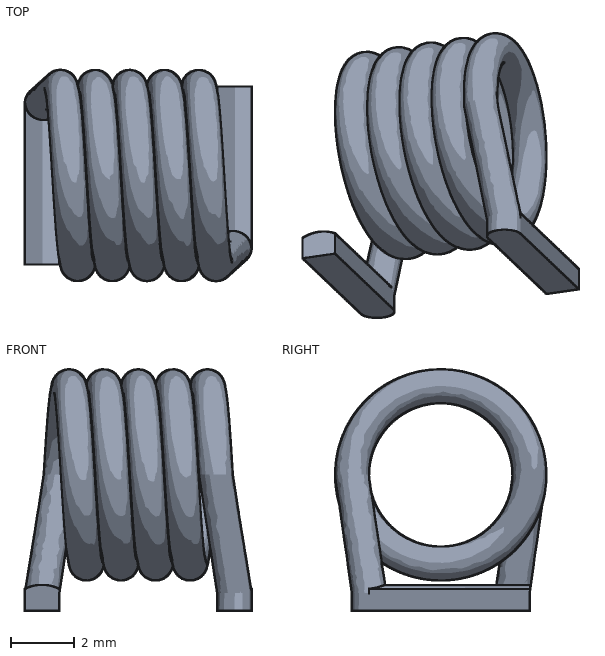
import cadquery as cq

wire_diameter = 1.07
coil_outer_diameter = 6.67
coil_turns = 4.5
coil_pitch = 1.09
overall_height = 7.62
overall_length = 7.16

foot_width = 1.1
foot_side_height = 0.69
foot_crown_height = 0.82
foot_post_height = 0.55
foot_round_center_y = 2.255
foot_tip_y = -2.81

wire_radius = wire_diameter / 2
coil_radius = coil_outer_diameter / 2 - wire_radius
coil_length = coil_turns * coil_pitch
coil_start_x = -coil_length / 2
coil_axis_z = overall_height - coil_outer_diameter / 2
foot_radius = foot_width / 2
foot_x = (foot_width - overall_length) / 2


def make_coil():
    """Wire swept along the helix, starting at the +Y side and rising over the top."""
    axis_plane = cq.Plane(origin=(coil_start_x, 0, coil_axis_z), xDir=(0, 1, 0), normal=(1, 0, 0))
    helix = cq.Wire.makeHelix(coil_pitch, coil_length, coil_radius).moved(cq.Location(axis_plane))
    section = cq.Workplane("XY", origin=(coil_start_x, coil_radius, coil_axis_z)).circle(wire_radius)
    return section.sweep(cq.Workplane(helix), isFrenet=True)


def make_leg():
    """Slanted leg between the round end of the foot and the start of the coil."""
    leg_rise = coil_axis_z - foot_post_height
    return (
        cq.Workplane("XY", origin=(foot_x, foot_round_center_y, foot_post_height))
        .circle(foot_radius)
        .workplane(offset=leg_rise)
        .center(coil_start_x - foot_x, coil_radius - foot_round_center_y)
        .circle(wire_radius)
        .loft(ruled=True)
    )


def make_foot():
    """Round post under the leg and a crowned bar running toward -Y."""
    post = (
        cq.Workplane("XY", origin=(foot_x, foot_round_center_y, 0))
        .circle(foot_radius)
        .extrude(foot_post_height)
    )
    bar = (
        cq.Workplane("XZ", origin=(foot_x, foot_round_center_y, 0))
        .moveTo(-foot_radius, 0)
        .lineTo(foot_radius, 0)
        .lineTo(foot_radius, foot_side_height)
        .threePointArc((0, foot_crown_height), (-foot_radius, foot_side_height))
        .close()
        .extrude(foot_round_center_y - foot_tip_y)
    )
    return post.union(bar)


end = make_foot().union(make_leg())
opposite_end = end.rotate((0, 0, 0), (0, 0, 1), 180)

result = make_coil().union(end).union(opposite_end)